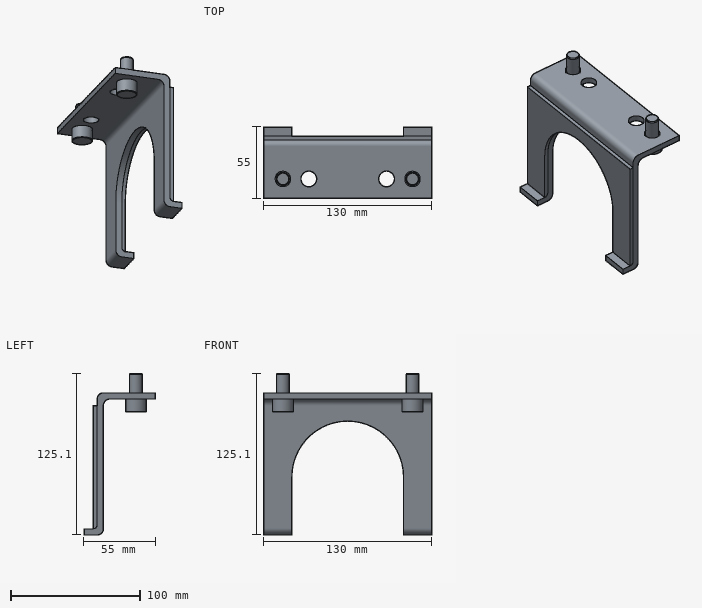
import cadquery as cq

width = 130.0
sheet = 5.0
bracket_height = 110.0
web_back = 45.0
foot_length = 10.0
bend_radius = sheet
foot_inner_radius = 3.0

leg_width = 22.0
arch_radius = width / 2 - leg_width
arch_center_height = 45.0

hole_diameter = 12.0
hole_distance = 15.0
screw_offset = 50.0
free_hole_offset = 30.0

backing_thickness = 3.0
backing_top = 100.0

shank_diameter = 10.0
head_diameter = 16.0
head_height = 10.0
head_chamfer = 0.5
screw_projection = 15.1
tip_chamfer_height = 0.9
tip_chamfer_width = 0.5

web_front = web_back - sheet
foot_end = web_back + foot_length
flange_bottom = bracket_height - sheet


def across_width(profile):
    """Extrude a closed YZ profile over the full width, centred on X = 0."""
    return profile.extrude(width / 2, both=True)


def make_arch_cutter():
    """Round-topped opening, long enough to pass through everything behind the flange."""
    return (
        cq.Workplane("XZ")
        .moveTo(-arch_radius, 0)
        .lineTo(-arch_radius, arch_center_height)
        .threePointArc((0, arch_center_height + arch_radius), (arch_radius, arch_center_height))
        .lineTo(arch_radius, 0)
        .close()
        .extrude(-foot_end)
    )


def make_bent_sheet():
    """Bent sheet before the arch and the holes are cut."""
    sheet_body = across_width(
        cq.Workplane("YZ").polyline([
            (0, bracket_height),
            (web_back, bracket_height),
            (web_back, sheet),
            (foot_end, sheet),
            (foot_end, 0),
            (web_front, 0),
            (web_front, flange_bottom),
            (0, flange_bottom),
        ]).close()
    )

    def bend_edge(y, z):
        return cq.selectors.NearestToPointSelector((0, y, z))

    for y, z, radius in (
        (web_back, bracket_height, bend_radius),
        (web_front, flange_bottom, bend_radius),
        (web_front, 0, bend_radius),
        (web_back, sheet, foot_inner_radius),
    ):
        sheet_body = sheet_body.edges("|X").edges(bend_edge(y, z)).fillet(radius)
    return sheet_body


def make_bracket(bent_sheet, arch_cutter):
    hole_places = [
        (side * offset, hole_distance)
        for side in (-1, 1)
        for offset in (screw_offset, free_hole_offset)
    ]
    holes = (
        cq.Workplane("XY", origin=(0, 0, flange_bottom))
        .pushPoints(hole_places)
        .circle(hole_diameter / 2)
        .extrude(sheet)
    )
    return bent_sheet.cut(arch_cutter).cut(holes)


def make_backing(bent_sheet, arch_cutter):
    """Plate whose lower edge follows the inner bend of the feet."""
    plate = across_width(
        cq.Workplane("YZ").polyline([
            (web_back, sheet),
            (web_back + backing_thickness, sheet),
            (web_back + backing_thickness, backing_top),
            (web_back, backing_top),
        ]).close()
    )
    return plate.cut(bent_sheet).cut(arch_cutter)


def make_screw(x):
    """Cap screw with its head under the flange and its shank pointing up."""
    head = (
        cq.Workplane("XY", origin=(x, hole_distance, flange_bottom - head_height))
        .circle(head_diameter / 2)
        .extrude(head_height)
        .faces("<Z").chamfer(head_chamfer)
    )
    shank = (
        cq.Workplane("XY", origin=(x, hole_distance, flange_bottom))
        .circle(shank_diameter / 2)
        .extrude(sheet + screw_projection)
    )
    shank = shank.faces(">Z").chamfer(tip_chamfer_height, tip_chamfer_width)
    return head.union(shank)


bent_sheet = make_bent_sheet()
arch_cutter = make_arch_cutter()

bracket = make_bracket(bent_sheet, arch_cutter)
backing = make_backing(bent_sheet, arch_cutter)
screws = [make_screw(side * screw_offset) for side in (-1, 1)]

result = cq.Compound.makeCompound([
    bracket.val(),
    backing.val(),
    *[screw.val() for screw in screws],
])